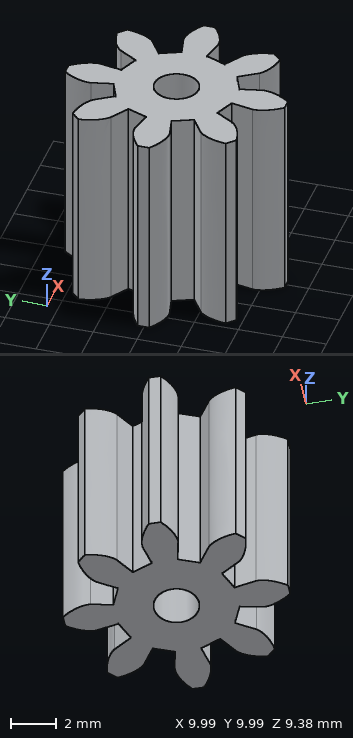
import cadquery as cq
import math

tooth_count = 8
module = 1.0
pressure_angle = math.radians(20)
dedendum_ratio = 1.25
face_width = 9.38
bore_diameter = 2.0
across_tips = 9.99
tip_allowance = 0.1
curve_steps = 10

pitch_angle = 2 * math.pi / tooth_count
pitch_radius = module * tooth_count / 2
base_radius = pitch_radius * math.cos(pressure_angle)
root_radius = pitch_radius - dedendum_ratio * module
blank_radius = across_tips / 2 + tip_allowance

base_half_angle = pitch_angle / 4 + math.tan(pressure_angle) - pressure_angle


def polar_point(radius, angle):
    return (radius * math.cos(angle), radius * math.sin(angle))


def flank_points(tooth_angle, side):
    """Involute from the base circle outwards; side is -1 or +1 across the tooth."""
    max_roll = math.sqrt((blank_radius / base_radius) ** 2 - 1)
    points = []
    for step in range(curve_steps + 1):
        roll = max_roll * step / curve_steps
        radius = base_radius * math.sqrt(1 + roll ** 2)
        half_angle = base_half_angle - (roll - math.atan(roll))
        points.append(polar_point(radius, tooth_angle + side * half_angle))
    return points


def gear_blank():
    """Teeth with involute flanks above radial flanks, joined by flat root floors."""
    outline = cq.Workplane("XY").moveTo(*polar_point(root_radius, -base_half_angle))
    for tooth in range(tooth_count):
        tooth_angle = tooth * pitch_angle
        rising = flank_points(tooth_angle, -1)
        falling = flank_points(tooth_angle, 1)[::-1]
        next_root = tooth_angle + pitch_angle - base_half_angle
        outline = outline.lineTo(*rising[0]).spline(rising[1:], includeCurrent=True)
        outline = outline.lineTo(*falling[0]).spline(falling[1:], includeCurrent=True)
        outline = outline.lineTo(*polar_point(root_radius, tooth_angle + base_half_angle))
        if tooth < tooth_count - 1:
            outline = outline.lineTo(*polar_point(root_radius, next_root))
    return outline.close().extrude(face_width)


def tip_envelope():
    """Polygonal prism with one flat side facing each tooth tip."""
    corner_diameter = across_tips / math.cos(pitch_angle / 2)
    prism = cq.Workplane("XY").polygon(tooth_count, corner_diameter).extrude(face_width)
    return prism.rotate((0, 0, 0), (0, 0, 1), math.degrees(pitch_angle / 2))


gear = gear_blank().intersect(tip_envelope())
result = gear.faces(">Z").workplane(origin=(0, 0, face_width)).hole(bore_diameter)